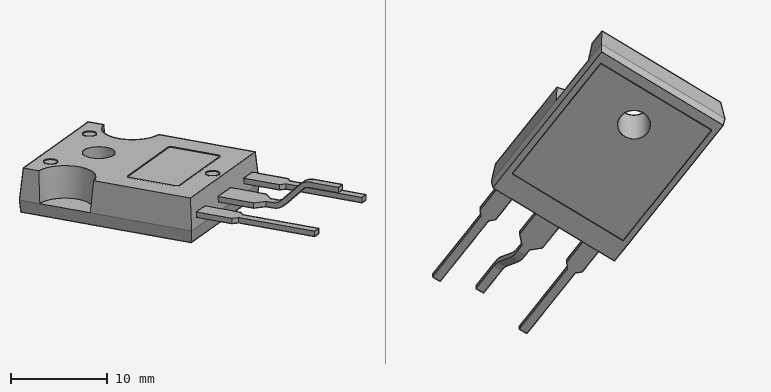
import cadquery as cq
import math

total_length = 33.3
body_length = 19.98
body_width = 15.6
body_bottom = 0.1
parting_height = 1.45
body_top = 4.95
draft_angle = 5.0

pad_start = 1.25
pad_length = 16.05
pad_width = 14.0

hole_x = 5.3
hole_diameter = 3.4
notch_floor_diameter = 5.83
notch_top_diameter = 6.4

mark_depth = 0.1
pin_mark_diameter = 1.5
pin_mark_centers = [(1.95, 4.5), (1.95, -4.5), (18.48, 0)]
label_x = 14.0
label_length = 6.0
label_width = 9.92
label_corner_radius = 0.33

lead_thickness = 0.6
lead_bottom = 2.5
lead_pitch = 5.45
lead_width = 0.95
outer_shoulder_width = 2.0
center_shoulder_width = 2.9
shoulder_end = 23.98
lead_embed = 0.65
lead_start = body_length - lead_embed

joggle_angle = 45.0
joggle_start = 26.37
joggle_rise = 3.0
joggle_end = joggle_start + joggle_rise / math.tan(math.radians(joggle_angle))
bend_radius = 1.8


def make_body():
    """Two drafted halves meeting at the parting plane."""
    parting_plane = cq.Workplane("XY", origin=(body_length / 2, 0, parting_height))
    upper = parting_plane.rect(body_length, body_width).extrude(body_top - parting_height, taper=draft_angle)
    lower = parting_plane.rect(body_length, body_width).extrude(body_bottom - parting_height, taper=draft_angle)
    return upper.union(lower)


def make_pad():
    center = (pad_start + pad_length / 2, 0, 0)
    return cq.Workplane("XY", origin=center).rect(pad_length, pad_width).extrude(parting_height)


def make_notch(side):
    """Conical cutter centred on a long edge, widening towards the top."""
    return (
        cq.Workplane("XY", origin=(hole_x, side * body_width / 2, parting_height))
        .circle(notch_floor_diameter / 2)
        .workplane(offset=body_top - parting_height)
        .circle(notch_top_diameter / 2)
        .loft()
    )


def make_top_marks():
    mark_plane = cq.Workplane("XY", origin=(0, 0, body_top - mark_depth))
    label = (
        mark_plane.center(label_x, 0)
        .rect(label_length, label_width)
        .extrude(mark_depth)
        .edges("|Z")
        .fillet(label_corner_radius)
    )
    pins = mark_plane.pushPoints(pin_mark_centers).circle(pin_mark_diameter / 2).extrude(mark_depth)
    return label.union(pins)


def lead_outline(y, shoulder_width, height):
    """Lead seen from above: wide shoulder narrowing at 45 degrees to the pin."""
    half_shoulder = shoulder_width / 2
    half_lead = lead_width / 2
    neck = shoulder_end + half_shoulder - half_lead
    return (
        cq.Workplane("XY", origin=(0, y, lead_bottom))
        .moveTo(lead_start, -half_shoulder)
        .lineTo(shoulder_end, -half_shoulder)
        .lineTo(neck, -half_lead)
        .lineTo(total_length, -half_lead)
        .lineTo(total_length, half_lead)
        .lineTo(neck, half_lead)
        .lineTo(shoulder_end, half_shoulder)
        .lineTo(lead_start, half_shoulder)
        .close()
        .extrude(height)
    )


def make_center_lead():
    """Constant-thickness joggled strip trimmed to the lead outline."""
    corner_shift = lead_thickness * math.tan(math.radians(joggle_angle / 2))
    top = lead_bottom + lead_thickness
    profile = (
        cq.Workplane("XZ")
        .moveTo(lead_start, lead_bottom)
        .lineTo(joggle_start + corner_shift / 2, lead_bottom)
        .lineTo(joggle_end + corner_shift / 2, lead_bottom + joggle_rise)
        .lineTo(total_length, lead_bottom + joggle_rise)
        .lineTo(total_length, top + joggle_rise)
        .lineTo(joggle_end - corner_shift / 2, top + joggle_rise)
        .lineTo(joggle_start - corner_shift / 2, top)
        .lineTo(lead_start, top)
        .close()
        .extrude(center_shoulder_width / 2, both=True)
    )
    inner_radius = bend_radius - lead_thickness
    lower_bend = joggle_start + corner_shift / 2
    upper_bend = joggle_end - corner_shift / 2
    bends = [
        (lower_bend, lead_bottom, bend_radius),
        (lower_bend - corner_shift, top, inner_radius),
        (upper_bend, top + joggle_rise, bend_radius),
        (upper_bend + corner_shift, lead_bottom + joggle_rise, inner_radius),
    ]
    for x, z, radius in bends:
        profile = profile.edges(cq.selectors.NearestToPointSelector((x, 0, z))).fillet(radius)
    return profile.intersect(lead_outline(0, center_shoulder_width, lead_thickness + joggle_rise))


result = make_body().union(make_pad())
for side in (-1, 1):
    result = result.cut(make_notch(side))
    result = result.union(lead_outline(side * lead_pitch, outer_shoulder_width, lead_thickness))
result = result.union(make_center_lead()).cut(make_top_marks())
mounting_hole = cq.Workplane("XY").center(hole_x, 0).circle(hole_diameter / 2).extrude(body_top)
result = result.cut(mounting_hole)